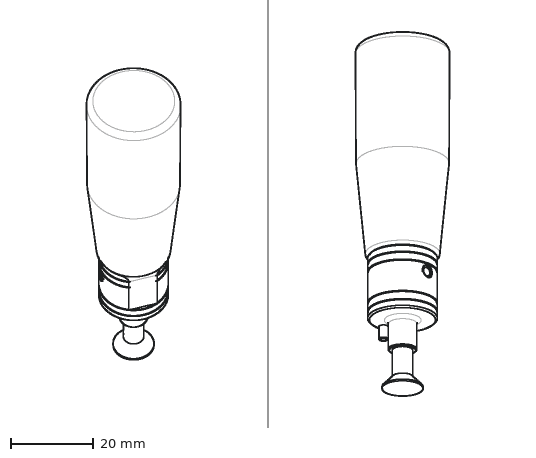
import cadquery as cq
import math

HEIGHT = 89.5
FOOT_RIM_TOP = 0.45
FOOT_CONE_TOP = 3.0
SLEEVE_BOTTOM = 10.0
BODY_BOTTOM = 18.0
BODY_TOP = 34.6
WAIST_Z = 59.1
SEAM_HEIGHTS = (20.05, 22.2, 30.4, 32.5)

FOOT_RADIUS = 10.0 / 2
SHAFT_RADIUS = 5.0 / 2
SLEEVE_RADIUS = 7.0 / 2
BODY_RADIUS = 17 / 2
GRIP_RADIUS = 23.0 / 2
WAIST_RADIUS = 11.4
GRIP_BASE_RADIUS = 9.0

SLEEVE_CHAMFER = 0.3
SLEEVE_FILLET = 1.0
BODY_BOTTOM_CHAMFER = 0.45
BODY_TOP_CHAMFER = 0.45
GRIP_BASE_FILLET = 0.8
GRIP_TOP_FILLET = 1.5
SEAM_DEPTH = 0.13
SEAM_WIDTH = 0.3

QUARTER_ROUND_INSET = 1 - math.sqrt(0.5)

FLAT_X = 7.7
FLAT_BOTTOM = 22.2
FLAT_EDGE_FILLET = 2.0

HOLE_Z = 28.5
HOLE_DIAMETER = 2.2
RECESS_DIAMETER = 3.2
RECESS_DEPTH = 0.45

PIN_Y = 6.35
PIN_DIAMETER = 2.2
PIN_BOTTOM = 14.5
PIN_CHAMFER = 0.3


def make_plunger():
    """Flared foot, shaft and sleeve that reach up into the body."""
    fillet_start = BODY_BOTTOM - SLEEVE_FILLET
    fillet_outer = SLEEVE_RADIUS + SLEEVE_FILLET
    fillet_inset = SLEEVE_FILLET * QUARTER_ROUND_INSET
    return (
        cq.Workplane("XZ")
        .lineTo(FOOT_RADIUS, 0)
        .lineTo(FOOT_RADIUS, FOOT_RIM_TOP)
        .lineTo(SHAFT_RADIUS, FOOT_CONE_TOP)
        .lineTo(SHAFT_RADIUS, SLEEVE_BOTTOM)
        .lineTo(SLEEVE_RADIUS - SLEEVE_CHAMFER, SLEEVE_BOTTOM)
        .lineTo(SLEEVE_RADIUS, SLEEVE_BOTTOM + SLEEVE_CHAMFER)
        .lineTo(SLEEVE_RADIUS, fillet_start)
        .threePointArc(
            (SLEEVE_RADIUS + fillet_inset, BODY_BOTTOM - fillet_inset),
            (fillet_outer, BODY_BOTTOM),
        )
        .lineTo(fillet_outer, BODY_TOP)
        .lineTo(0, BODY_TOP)
        .close()
        .revolve(360, (0, 0), (0, 1))
    )


def make_seam(z):
    """Ring with a V section, half sunk into the body wall to cut a fine seam."""
    return (
        cq.Workplane("XZ")
        .moveTo(BODY_RADIUS - SEAM_DEPTH, z)
        .lineTo(BODY_RADIUS + SEAM_DEPTH, z + SEAM_WIDTH)
        .lineTo(BODY_RADIUS + SEAM_DEPTH, z - SEAM_WIDTH)
        .close()
        .revolve(360, (0, 0), (0, 1))
    )


def make_flat_cutter():
    """Block outside the flat, including the rounding of its upper edge."""
    inset = FLAT_EDGE_FILLET * QUARTER_ROUND_INSET
    return (
        cq.Workplane("XZ")
        .moveTo(GRIP_RADIUS, FLAT_BOTTOM)
        .lineTo(FLAT_X, FLAT_BOTTOM)
        .lineTo(FLAT_X, BODY_TOP - FLAT_EDGE_FILLET)
        .threePointArc((FLAT_X - inset, BODY_TOP - inset), (FLAT_X - FLAT_EDGE_FILLET, BODY_TOP))
        .lineTo(GRIP_RADIUS, BODY_TOP)
        .close()
        .extrude(BODY_RADIUS, both=True)
    )


def make_body():
    """Locking body with its seams and side flat."""
    body = (
        cq.Workplane("XY")
        .workplane(offset=BODY_BOTTOM)
        .circle(BODY_RADIUS)
        .extrude(BODY_TOP - BODY_BOTTOM)
        .faces("<Z").chamfer(BODY_BOTTOM_CHAMFER)
        .faces(">Z").chamfer(BODY_TOP_CHAMFER)
    )
    for z in SEAM_HEIGHTS:
        body = body.cut(make_seam(z))
    return body.cut(make_flat_cutter())


def make_cross_hole():
    """Through hole along Y with a shallow recess at both ends."""
    section = cq.Workplane("XZ").center(0, HOLE_Z)
    hole = section.circle(HOLE_DIAMETER / 2).extrude(BODY_RADIUS, both=True)
    recess = section.circle(RECESS_DIAMETER / 2).extrude(BODY_RADIUS, both=True)
    core = section.circle(RECESS_DIAMETER).extrude(BODY_RADIUS - RECESS_DEPTH, both=True)
    return hole.union(recess.cut(core))


def make_pin():
    """Stop pin standing down from the body on the +Y side."""
    return (
        cq.Workplane("XY")
        .workplane(offset=PIN_BOTTOM)
        .center(0, PIN_Y)
        .circle(PIN_DIAMETER / 2)
        .extrude(BODY_BOTTOM + BODY_BOTTOM_CHAMFER - PIN_BOTTOM)
        .faces("<Z").chamfer(PIN_CHAMFER)
    )


def make_grip():
    """Hand grip: widening cone below, slightly tapered barrel above."""
    inset = GRIP_TOP_FILLET * QUARTER_ROUND_INSET
    return (
        cq.Workplane("YZ")
        .moveTo(0, BODY_TOP)
        .lineTo(GRIP_BASE_RADIUS, BODY_TOP)
        .lineTo(WAIST_RADIUS, WAIST_Z)
        .lineTo(GRIP_RADIUS, HEIGHT - GRIP_TOP_FILLET)
        .threePointArc((GRIP_RADIUS - inset, HEIGHT - inset), (GRIP_RADIUS - GRIP_TOP_FILLET, HEIGHT))
        .lineTo(0, HEIGHT)
        .close()
        .revolve(360, (0, 0), (0, 1))
        .faces("<Z").edges().fillet(GRIP_BASE_FILLET)
    )


lower_part = make_plunger().union(make_body()).union(make_pin()).cut(make_cross_hole())
result = lower_part.union(make_grip())